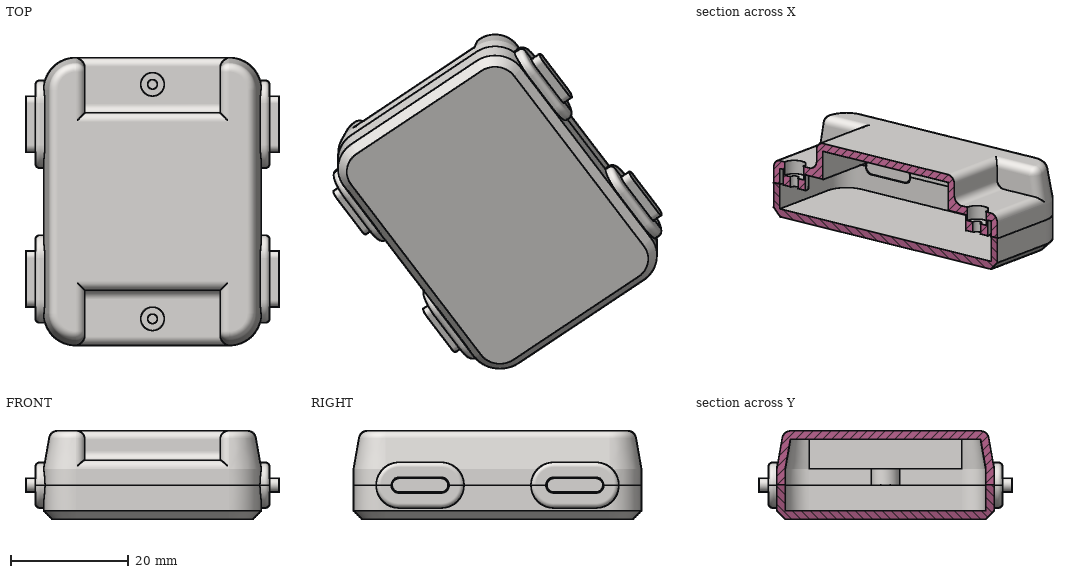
import cadquery as cq

width = 37.16
length = 49.16
height = 15.15
corner_radius = 5.5
base_chamfer = 1.5
parting_z = 5.85
draft_start_z = 8.65
draft_angle = 10.0
edge_fillet = 1.5
wall = 1.5

recess_width = 23.06
recess_back_y = 15.15
recess_depth = 5.0
recess_floor_fillet = 1.5
recess_floor_z = height - recess_depth

screw_y = 20.0
screw_head_diameter = 4.0
screw_head_depth = 2.4
screw_pilot_diameter = 1.62
boss_diameter = 4.9

plug_y = 13.2
plug_straight = 7.2
plug_thickness = 2.4
plug_tip_x = 21.6
plug_clearance = 0.1
collar_thickness = 7.8
collar_face_x = 20.0
collar_fillet = 0.8

side_x = width / 2
end_y = length / 2
inner_side_x = side_x - wall
plug_places = [(side, end) for side in (1, -1) for end in (1, -1)]

overshoot = 5.0
tolerance = 0.01


def rounded_block(inset, z_low, z_high, taper=0.0):
    """Block with the housing outline, moved inward by the inset."""
    return (
        cq.Workplane("XY", origin=(0, 0, z_low))
        .sketch()
        .rect(width - 2 * inset, length - 2 * inset)
        .vertices()
        .fillet(corner_radius - inset)
        .finalize()
        .extrude(z_high - z_low, taper=taper)
    )


def end_block(half_width, back_y, z_low, end):
    """Block that reaches from back_y past one end of the housing and up past its top."""
    depth = end_y + overshoot - back_y
    return (
        cq.Workplane("XY", origin=(0, end * (back_y + depth / 2), z_low))
        .rect(2 * half_width, depth)
        .extrude(height + overshoot - z_low)
    )


def screw_cylinder(diameter, z_low, z_high, end):
    """Upright cylinder on the screw axis of one end."""
    return (
        cq.Workplane("XY", origin=(0, end * screw_y, z_low))
        .circle(diameter / 2)
        .extrude(z_high - z_low)
    )


def side_bar(thickness, x_low, x_high, side, end):
    """Bar with full-round ends that runs along X, centred on the parting plane."""
    return (
        cq.Workplane("YZ", origin=(side * x_low, end * plug_y, parting_z))
        .slot2D(plug_straight + thickness, thickness)
        .extrude(side * (x_high - x_low))
    )


def outer_lid():
    """Solid upper half, straight at first and then drafted, with the two recesses."""
    lid = rounded_block(0, parting_z, draft_start_z)
    lid = lid.union(rounded_block(0, draft_start_z, height, draft_angle))
    for end in (1, -1):
        recess = end_block(recess_width / 2, recess_back_y, recess_floor_z, end)
        back_face = "<Y" if end > 0 else ">Y"
        recess = recess.faces(back_face).edges("<Z").fillet(recess_floor_fillet)
        lid = lid.cut(recess)
    return lid


def round_lid_edges(lid):
    """Round the top rim, and the upright ends and the lip of each recess."""
    half = recess_width / 2
    edges = lid.faces(">Z").edges().vals()
    for end in (1, -1):
        for side in (1, -1):
            near_upright_end = cq.selectors.BoxSelector(
                (side * half - tolerance, end * screw_y, recess_floor_z + edge_fillet),
                (side * half + tolerance, end * end_y, height - edge_fillet),
            )
            edges += lid.edges(near_upright_end).vals()
        near_lip = cq.selectors.BoxSelector(
            (-tolerance, end * screw_y, recess_floor_z - tolerance),
            (tolerance, end * end_y, recess_floor_z + tolerance),
        )
        edges += lid.edges(near_lip).vals()
    return lid.newObject(edges).fillet(edge_fillet)


def lid_cavity():
    """Hollow inside the lid, leaving walls around the recesses and a boss below each screw."""
    cavity = rounded_block(wall, parting_z, draft_start_z)
    cavity = cavity.union(rounded_block(wall, draft_start_z, height - wall, draft_angle))
    for end in (1, -1):
        half = recess_width / 2 + wall
        recess_wall = end_block(half, recess_back_y - wall, recess_floor_z - wall, end)
        cavity = cavity.cut(recess_wall)
        cavity = cavity.cut(screw_cylinder(boss_diameter, parting_z, recess_floor_z, end))
    return cavity


def make_collar(side, end):
    collar = side_bar(collar_thickness, inner_side_x, collar_face_x, side, end)
    outer_face = ">X" if side > 0 else "<X"
    return collar.faces(outer_face).edges().fillet(collar_fillet)


def add_collars(shell, z_low, z_high):
    """Join to one housing half the collar parts between two heights, and open the plug slots."""
    slab = (
        cq.Workplane("XY", origin=(0, 0, z_low))
        .rect(2 * plug_tip_x, length)
        .extrude(z_high - z_low)
    )
    slot_thickness = plug_thickness + 2 * plug_clearance
    for side, end in plug_places:
        shell = shell.union(make_collar(side, end).intersect(slab))
        shell = shell.cut(side_bar(slot_thickness, inner_side_x, collar_face_x, side, end))
    return shell


def make_lid():
    lid = round_lid_edges(outer_lid()).cut(lid_cavity())
    seat_z = recess_floor_z - screw_head_depth
    for end in (1, -1):
        lid = lid.cut(screw_cylinder(screw_head_diameter, seat_z, height, end))
        lid = lid.cut(screw_cylinder(screw_pilot_diameter, parting_z, height, end))
    return add_collars(lid, parting_z, height)


def make_base():
    base = rounded_block(0, 0, parting_z).faces("<Z").chamfer(base_chamfer)
    base = base.cut(rounded_block(wall, wall, parting_z))
    return add_collars(base, 0, parting_z)


def make_plug(side, end):
    return side_bar(plug_thickness, inner_side_x, plug_tip_x, side, end)


lid = make_lid()
base = make_base()
plugs = [make_plug(side, end) for side, end in plug_places]

result = cq.Compound.makeCompound([lid.val(), base.val(), *[plug.val() for plug in plugs]])